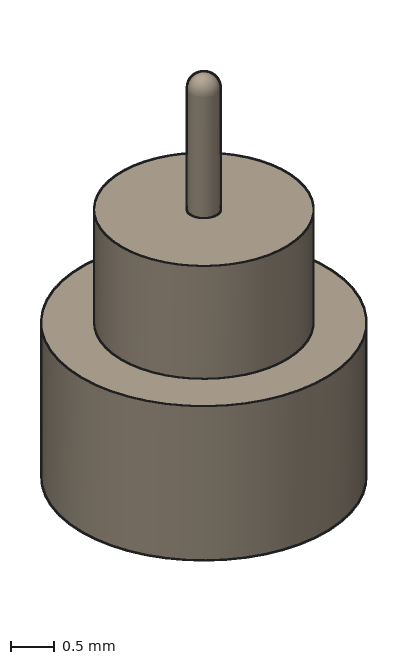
import cadquery as cq

total_height = 5.35
base_diameter = 3.7
base_height = 2.05
collar_diameter = 2.5
collar_height = 1.5
pin_diameter = 0.39

pin_radius = pin_diameter / 2
collar_top = base_height + collar_height
pin_height = total_height - collar_top

base = cq.Workplane("XY").circle(base_diameter / 2).extrude(base_height)

collar = (
    cq.Workplane("XY", origin=(0, 0, base_height))
    .circle(collar_diameter / 2)
    .extrude(collar_height)
)

pin_shank = (
    cq.Workplane("XY", origin=(0, 0, collar_top))
    .circle(pin_radius)
    .extrude(pin_height - pin_radius)
)
pin_tip = cq.Workplane("XY", origin=(0, 0, total_height - pin_radius)).sphere(pin_radius)

result = base.union(collar).union(pin_shank).union(pin_tip)